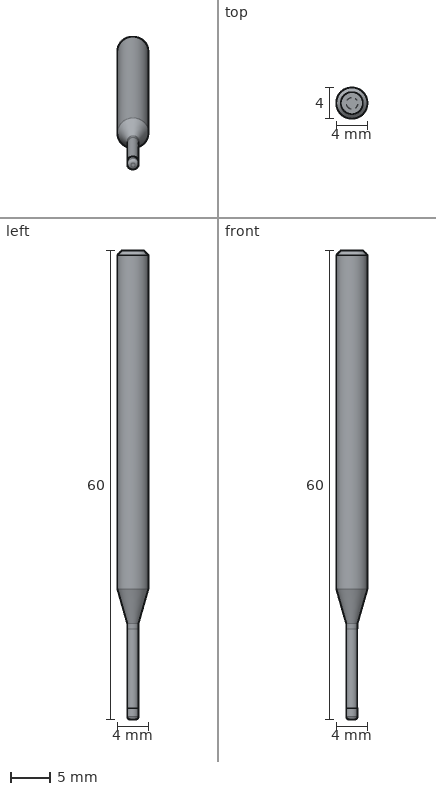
import cadquery as cq
import math

total_length = 60.0
shank_diameter = 4.0
cutter_diameter = 1.5
neck_diameter = 1.45
cutter_length = 1.5
corner_radius = 0.5
neck_top = 11.65
cone_bottom = 12.35
shank_bottom = 16.75
chamfer_height = 0.6
chamfer_width = 0.6

shank_radius = shank_diameter / 2
cutter_radius = cutter_diameter / 2
neck_radius = neck_diameter / 2


def revolve_about_z(profile):
    """Turn a closed half profile (radius, height) in the XZ plane into a solid."""
    return profile.close().revolve(360, (0, 0, 0), (0, 1, 0))


def make_cutter():
    """Short cylindrical cutting head with a rounded corner around a small flat tip."""
    flat_radius = cutter_radius - corner_radius
    arc_middle = (
        flat_radius + corner_radius * math.sqrt(0.5),
        corner_radius * (1 - math.sqrt(0.5)),
    )
    profile = (
        cq.Workplane("XZ")
        .moveTo(0, 0)
        .lineTo(flat_radius, 0)
        .threePointArc(arc_middle, (cutter_radius, corner_radius))
        .lineTo(cutter_radius, cutter_length)
        .lineTo(0, cutter_length)
    )
    return revolve_about_z(profile)


def make_shank():
    """Thin neck, short step taper, long cone and chamfered cylindrical shank."""
    profile = (
        cq.Workplane("XZ")
        .moveTo(0, cutter_length)
        .lineTo(neck_radius, cutter_length)
        .lineTo(neck_radius, neck_top)
        .lineTo(cutter_radius, cone_bottom)
        .lineTo(shank_radius, shank_bottom)
        .lineTo(shank_radius, total_length - chamfer_height)
        .lineTo(shank_radius - chamfer_width, total_length)
        .lineTo(0, total_length)
    )
    return revolve_about_z(profile)


cutter = make_cutter()
shank = make_shank()

result = cq.Compound.makeCompound([cutter.val(), shank.val()])